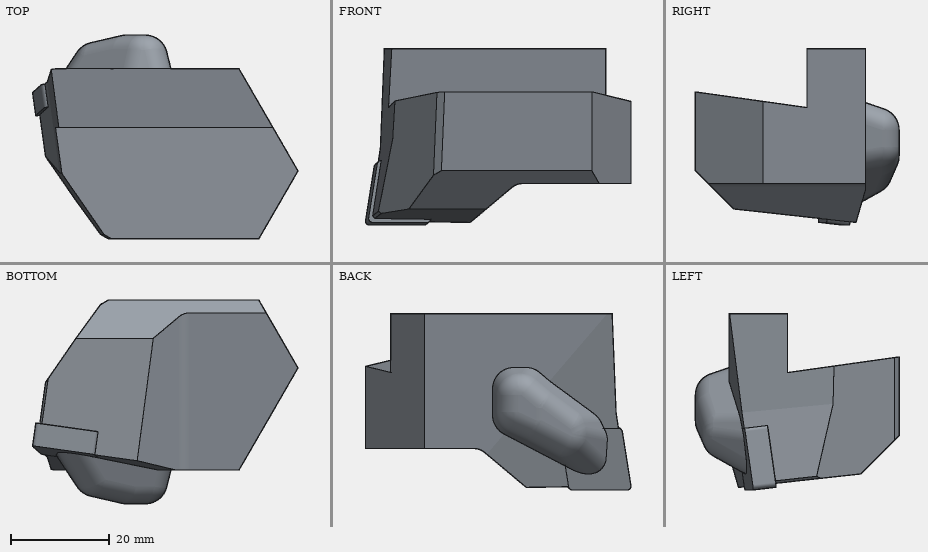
import cadquery as cq
import math

OVERALL_LENGTH = 54.2
OVERALL_HEIGHT = 36.0
BACK_Y = 34.75
MARGIN = 21.7

RAIL_WIDTH = 12.0
RAIL_HEIGHT = 12.0
SHELF_ANGLE = 8.0
SHELF_BACK_Y = BACK_Y - RAIL_WIDTH
SHELF_BACK_Z = OVERALL_HEIGHT - RAIL_HEIGHT

BASE_Z = 8.45
FOOT_Z = 0.65
FOOT_REAR_Y = 31.7
FOOT_TILT = 6.3
FOOT_END_X = 21.5
FOOT_END_ANGLE = 40.0
FOOT_END_RADIUS = 3.25
FRONT_CHAMFER_Z = 11.1

CORNER_Y = 13.9
FLANK_ANGLE = 30.0

SLANT_TOP_X = 6.1
SLANT_TOP_Y = 13.2
SLANT_END_X = 14.55
SLANT_END_Y = 0.9
FRONT_START_X = 16.1
LEAN_ANGLE = 2.4

KINK = (3.05, 32.1, 15.8)
KINK_DIRECTION = (2.55, -18.7, 1.8)
UPPER_WALL_ANGLE = 3.2
LOWER_WALL_ANGLE = 9.7
HEEL_CHAMFER = 0.55

RAKE_Y = 29.75
RAKE_SLOPE_X = 0.14
RAKE_SLOPE_Z = 0.12

INSERT_EDGE = 12.9
INSERT_ANGLE = 80.0
INSERT_THICKNESS = 4.75
NOSE_RADIUS = 0.8
INSERT_CORNER_X = -0.14

HUMP_ROOT_Y = 31.15
HUMP_FOOT_Y = 34.7
HUMP_TOP_Y = 41.65
HUMP_WALLS = [
    (24.4, 25.05, 90.0, 19.0),
    (13.5, 19.6, 130.6, 22.0),
    (7.6, 13.8, 160.0, 30.0),
    (7.05, 9.2, 188.0, 34.0),
    (8.4, 3.25, 295.0, 14.0),
    (28.3, 21.7, 0.0, 14.0),
]
HUMP_RADIUS = 4.6
CROWN_BEND_X = 18.7
CROWN_ANGLE = 13.0


def tan(angle):
    return math.tan(math.radians(angle))


RAKE_PLANE = cq.Plane(
    origin=(0, RAKE_Y, 0),
    xDir=(1, RAKE_SLOPE_X, 0),
    normal=(RAKE_SLOPE_X, -1, RAKE_SLOPE_Z),
)


def make_block():
    """Stepped Y-Z profile: rail, sloping shelf, front chamfer and tilted underside."""
    foot_slope = tan(FOOT_TILT)
    under_front_z = FOOT_Z + FOOT_REAR_Y * foot_slope
    chamfer_y = (FRONT_CHAMFER_Z - under_front_z) / (1 - foot_slope)
    points = [
        (BACK_Y, OVERALL_HEIGHT),
        (SHELF_BACK_Y, OVERALL_HEIGHT),
        (SHELF_BACK_Y, SHELF_BACK_Z),
        (0, SHELF_BACK_Z + SHELF_BACK_Y * tan(SHELF_ANGLE)),
        (0, FRONT_CHAMFER_Z),
        (chamfer_y, FRONT_CHAMFER_Z - chamfer_y),
        (BACK_Y, under_front_z - BACK_Y * foot_slope),
    ]
    profile = cq.Workplane("YZ", origin=(-MARGIN, 0, 0)).polyline(points).close()
    return profile.extrude(OVERALL_LENGTH + 2 * MARGIN)


def make_plan_prism():
    """Plan outline, swept along the lean so that the front left walls slope."""
    lean = tan(LEAN_ANGLE)
    rise = OVERALL_HEIGHT + MARGIN
    edge_z = SHELF_BACK_Z + (SHELF_BACK_Y - SLANT_TOP_Y) * tan(SHELF_ANGLE)
    slant_slope = (SLANT_END_X - SLANT_TOP_X) / (SLANT_TOP_Y - SLANT_END_Y)
    rear_y = SLANT_TOP_Y + MARGIN / slant_slope
    outline = [
        (SLANT_TOP_X - MARGIN, rear_y),
        (SLANT_END_X, SLANT_END_Y),
        (FRONT_START_X, 0),
        (OVERALL_LENGTH + MARGIN, 0),
        (OVERALL_LENGTH + MARGIN, rear_y),
    ]

    def section(z):
        shift = (z - edge_z) * lean
        return cq.Wire.makePolygon([cq.Vector(x + shift, y, z) for x, y in outline], close=True)

    return cq.Workplane(cq.Solid.makeLoft([section(-MARGIN), section(rise)], True))


def make_flank_prism():
    """Vertical +X walls that meet in a corner."""
    flank = tan(FLANK_ANGLE)
    points = [
        (-MARGIN, 0),
        (OVERALL_LENGTH - CORNER_Y * flank, 0),
        (OVERALL_LENGTH, CORNER_Y),
        (OVERALL_LENGTH - (BACK_Y - CORNER_Y) * flank, BACK_Y),
        (-MARGIN, BACK_Y),
    ]
    return cq.Workplane("XY").polyline(points).close().extrude(OVERALL_HEIGHT)


def make_left_wall_cut():
    """Space outside the kinked left wall."""
    kink = cq.Vector(*KINK)
    along = cq.Vector(*KINK_DIRECTION)
    start = kink - along
    end = kink + along * 2
    reach = OVERALL_HEIGHT + MARGIN
    profile = [
        (-MARGIN, reach),
        (reach * tan(UPPER_WALL_ANGLE), reach),
        (0, 0),
        (-reach * tan(LOWER_WALL_ANGLE), -reach),
        (-MARGIN, -reach),
    ]

    def section(center):
        return cq.Wire.makePolygon([center + cq.Vector(x, 0, z) for x, z in profile], close=True)

    return cq.Workplane(cq.Solid.makeLoft([section(start), section(end)], True))


def make_base_cut():
    """Space under the flat base, ending at the sloping foot end."""
    run = 1 / tan(FOOT_END_ANGLE)
    points = [
        (FOOT_END_X + (BASE_Z - FOOT_Z) * run, BASE_Z),
        (OVERALL_LENGTH + MARGIN, BASE_Z),
        (OVERALL_LENGTH + MARGIN, -MARGIN),
        (FOOT_END_X - (MARGIN + FOOT_Z) * run, -MARGIN),
    ]
    profile = cq.Workplane("XZ", origin=(0, -MARGIN, 0)).polyline(points).close()
    cut = profile.extrude(-BACK_Y - 2 * MARGIN)
    inner_edge = cq.selectors.NearestToPointSelector((points[0][0], BACK_Y / 2, BASE_Z))
    return cut.edges("|Y").edges(inner_edge).fillet(FOOT_END_RADIUS)


def make_rake_cut():
    """Space behind the rake plane."""
    size = 2 * (OVERALL_LENGTH + MARGIN)
    return cq.Workplane(RAKE_PLANE).rect(size, size).extrude(-MARGIN)


def make_insert():
    """Rhombic insert with rounded corners; its rear face lies in the rake plane."""
    lean_x = INSERT_EDGE * math.cos(math.radians(INSERT_ANGLE))
    height = INSERT_EDGE * math.sin(math.radians(INSERT_ANGLE))
    return (
        cq.Workplane(RAKE_PLANE)
        .moveTo(INSERT_CORNER_X, 0)
        .line(INSERT_EDGE, 0)
        .line(lean_x, height)
        .line(-INSERT_EDGE, 0)
        .close()
        .extrude(INSERT_THICKNESS)
        .edges(cq.selectors.ParallelDirSelector(RAKE_PLANE.zDir))
        .fillet(NOSE_RADIUS)
    )


def make_hump():
    """Drafted clamp finger with a bent crown; all exposed edges are rounded."""
    size = 4 * OVERALL_LENGTH
    root = cq.Workplane("XZ", origin=(0, HUMP_ROOT_Y, 0))
    hump = root.rect(size, size).extrude(HUMP_ROOT_Y - HUMP_TOP_Y)
    for x, z, facing, draft in HUMP_WALLS:
        face_x = math.cos(math.radians(facing))
        face_z = math.sin(math.radians(facing))
        along = cq.Vector(-face_z, 0, face_x)
        outward = cq.Vector(face_x, tan(draft), face_z)
        wall = cq.Plane(origin=(x, HUMP_FOOT_Y, z), xDir=along, normal=outward)
        hump = hump.cut(cq.Workplane(wall).rect(size, size).extrude(size))
    bend = cq.Plane(
        origin=(CROWN_BEND_X, HUMP_TOP_Y, 0),
        xDir=(0, 0, 1),
        normal=(-tan(CROWN_ANGLE), 1, 0),
    )
    hump = hump.cut(cq.Workplane(bend).rect(size, size).extrude(size))
    return hump.edges("not <Y").fillet(HUMP_RADIUS)


def make_housing(insert):
    """Tool block with its clamp hump and a pocket that matches the insert."""
    housing = make_block().intersect(make_plan_prism()).intersect(make_flank_prism())
    housing = housing.cut(make_left_wall_cut())
    heel = cq.selectors.NearestToPointSelector((0, SHELF_BACK_Y, FOOT_Z))
    housing = housing.edges(heel).chamfer(HEEL_CHAMFER)
    housing = housing.cut(make_base_cut())
    housing = housing.cut(make_rake_cut())
    housing = housing.union(make_hump())
    return housing.cut(insert)


insert = make_insert()
housing = make_housing(insert)
result = cq.Compound.makeCompound([housing.val(), insert.val()])